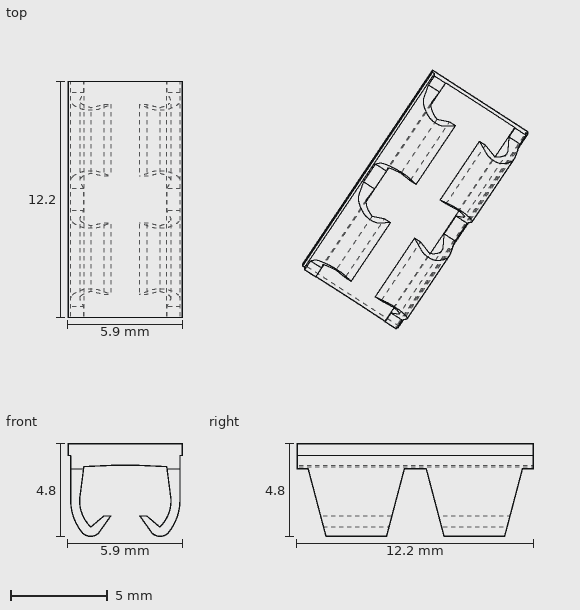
import cadquery as cq

length = 12.2
flange_width = 5.9
flange_height = 0.62
body_width = 5.66
plate_height = 1.3
total_height = 4.8

ceiling_crown_z = -1.12
ceiling_edge_z = -1.2
ceiling_half_width = 2.14

wall_bend = (2.32, -2.6)
inner_curve_mid = (2.21, -3.68)
inner_corner = (1.78, -4.31)
lip_z = -3.73
lip_outer_x = 1.11
lip_tip_x = 0.75
nose_start = (1.37, -4.61)
nose_bottom = (1.8, -total_height)
nose_end = (2.22, -4.61)
outer_curve_mid = (2.64, -3.92)
outer_curve_top_z = -2.94

leg_pitch = 6.1
leg_top_length = 4.98
leg_bottom_length = 3.14


def mirror_x(point):
    return (-point[0], point[1])


def make_clip_profile():
    """Extrude the full cross-section, plate body and both hooks, along Y."""
    half_width = body_width / 2
    ceiling_edge = (ceiling_half_width, ceiling_edge_z)
    return (
        cq.Workplane("XZ")
        .moveTo(-half_width, 0)
        .lineTo(half_width, 0)
        .lineTo(half_width, outer_curve_top_z)
        .threePointArc(outer_curve_mid, nose_end)
        .threePointArc(nose_bottom, nose_start)
        .lineTo(lip_tip_x, lip_z)
        .lineTo(lip_outer_x, lip_z)
        .lineTo(*inner_corner)
        .threePointArc(inner_curve_mid, wall_bend)
        .lineTo(*ceiling_edge)
        .threePointArc((0, ceiling_crown_z), mirror_x(ceiling_edge))
        .lineTo(*mirror_x(wall_bend))
        .threePointArc(mirror_x(inner_curve_mid), mirror_x(inner_corner))
        .lineTo(-lip_outer_x, lip_z)
        .lineTo(-lip_tip_x, lip_z)
        .lineTo(*mirror_x(nose_start))
        .threePointArc(mirror_x(nose_bottom), mirror_x(nose_end))
        .threePointArc(mirror_x(outer_curve_mid), (-half_width, outer_curve_top_z))
        .close()
        .extrude(length / 2, both=True)
    )


def make_side_envelope():
    """Side silhouette: the plate with two tapered legs, extruded along X."""
    half_length = length / 2
    outline = cq.Workplane("YZ").moveTo(half_length, 0).lineTo(-half_length, 0)
    outline = outline.lineTo(-half_length, -plate_height)
    for leg_y in (-leg_pitch / 2, leg_pitch / 2):
        outline = (
            outline
            .lineTo(leg_y - leg_top_length / 2, -plate_height)
            .lineTo(leg_y - leg_bottom_length / 2, -total_height)
            .lineTo(leg_y + leg_bottom_length / 2, -total_height)
            .lineTo(leg_y + leg_top_length / 2, -plate_height)
        )
    outline = outline.lineTo(half_length, -plate_height).close()
    return outline.extrude(flange_width / 2, both=True)


def make_flange():
    return cq.Workplane("XY").rect(flange_width, length).extrude(-flange_height)


result = make_clip_profile().intersect(make_side_envelope()).union(make_flange())